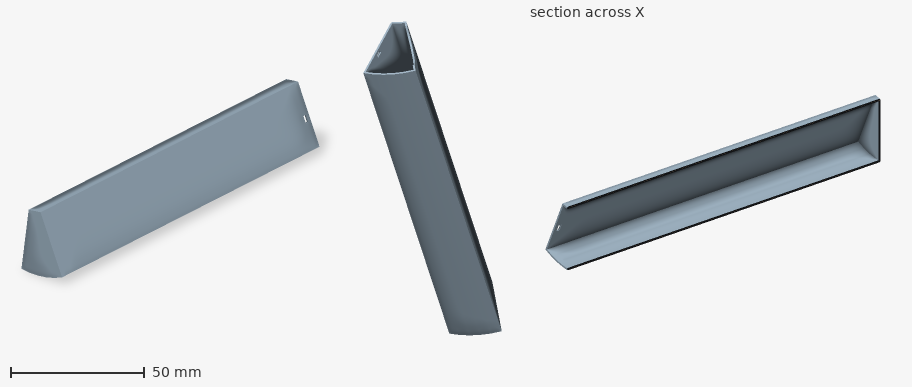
import cadquery as cq
import math

length = 147.0
outer_radius = 36.7
inner_radius = 10.7
left_angle = 7.9
right_angle = 24.2
wall = 0.7

notch_radius = 11.8
notch_reach = 5.1
notch_z = -23.5

window_width = 1.5
window_height = 2.8
window_inset = 2.2
window_z = -22.8


def polar(radius, angle):
    """Point (x, z) at an angle in degrees from straight down, positive towards +X."""
    turn = math.radians(angle)
    return (radius * math.sin(turn), -radius * math.cos(turn))


def wedge_section():
    """Closed outline of the bar in the XZ plane."""
    middle_angle = (right_angle - left_angle) / 2
    return (
        cq.Workplane("XZ")
        .moveTo(*polar(inner_radius, -left_angle))
        .lineTo(*polar(outer_radius, -left_angle))
        .threePointArc(polar(outer_radius, middle_angle), polar(outer_radius, right_angle))
        .lineTo(*polar(inner_radius, right_angle))
        .close()
    )


def make_shell():
    """Bar hollowed inwards, leaving the +Y end open."""
    return wedge_section().extrude(-length).faces(">Y").shell(-wall)


def make_notch():
    """Cylinder along X that crosses the left wall and stops inside the cavity."""
    return (
        cq.Workplane("YZ", origin=(-outer_radius, 0, 0))
        .center(length - notch_reach + notch_radius, notch_z)
        .circle(notch_radius)
        .extrude(outer_radius)
    )


def make_window():
    """Rectangular cutter along X, from inside the cavity out past the right wall."""
    return (
        cq.Workplane("YZ")
        .center(length - window_inset, window_z)
        .rect(window_width, window_height)
        .extrude(outer_radius)
    )


result = make_shell().cut(make_notch()).cut(make_window())